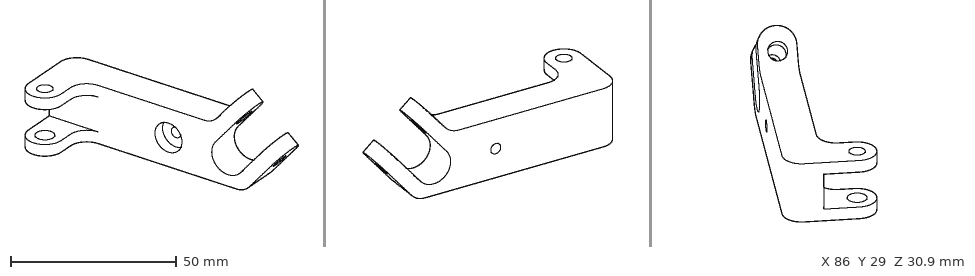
import cadquery as cq
import math

body_height = 20.0
body_depth = 12.0
total_depth = 29.0
end_radius = body_depth / 2
lug_thickness = 4.0
small_pin_diameter = 5.0
large_pin_diameter = 6.0

total_length = 86.0
fork_angle = 50.0
fork_reach = 18.0
arm_pin_distance = 10.0
slot_radius = 6.0
arm_thickness = 5.0
fork_half_width = slot_radius + arm_thickness
fork_cos = math.cos(math.radians(fork_angle))
fork_sin = math.sin(math.radians(fork_angle))
slot_x = total_length - fork_reach * fork_cos - fork_half_width * fork_sin
slot_z = body_height / 2

cross_hole_x = 44.0
cross_hole_diameter = 3.5
counterbore_diameter = 10.0
counterbore_depth = 4.0


def fork_point(along, across):
    """XZ point measured from the slot centre; positive across is the upper arm."""
    return (
        slot_x + along * fork_cos - across * fork_sin,
        slot_z + along * fork_sin + across * fork_cos,
    )


def bend_x(z, across):
    """X where an outer fork face meets the horizontal face at height z."""
    along = (z - slot_z - across * fork_cos) / fork_sin
    return fork_point(along, across)[0]


def fork_plane(across):
    """Plane parallel to the arms, X pointing to the tips and Y along the global Y axis."""
    x, z = fork_point(0, across)
    return cq.Plane(
        origin=(x, body_depth / 2, z),
        xDir=(fork_cos, 0, fork_sin),
        normal=(-fork_sin, 0, fork_cos),
    )


def make_bar():
    """Bar with two inclined arms, extruded from Y = 0 to Y = body_depth."""
    top_bend_x = bend_x(body_height, fork_half_width)
    bottom_bend_x = bend_x(0, -fork_half_width)
    bar = (
        cq.Workplane("XZ")
        .polyline([
            (0, 0),
            (bottom_bend_x, 0),
            fork_point(fork_reach, -fork_half_width),
            fork_point(fork_reach, fork_half_width),
            (top_bend_x, body_height),
            (0, body_height),
        ])
        .close()
        .extrude(-body_depth)
    )
    for x, z in ((bottom_bend_x, 0), (top_bend_x, body_height)):
        bend_edge = cq.selectors.NearestToPointSelector((x, body_depth / 2, z))
        bar = bar.edges(bend_edge).fillet(end_radius)

    slot = (
        cq.Workplane("XZ")
        .moveTo(*fork_point(fork_reach, slot_radius))
        .lineTo(*fork_point(0, slot_radius))
        .threePointArc(fork_point(-slot_radius, 0), fork_point(0, -slot_radius))
        .lineTo(*fork_point(fork_reach, -slot_radius))
        .close()
        .extrude(-body_depth)
    )
    back_corner = cq.selectors.NearestToPointSelector((0, body_depth, body_height / 2))
    return bar.cut(slot).edges(back_corner).fillet(end_radius)


def round_arm_tips(bar):
    """Trim the square arm ends to full half-rounds."""
    round_centre = fork_reach - end_radius
    fork_width = 2 * fork_half_width
    plane = fork_plane(-fork_half_width)
    square_ends = (
        cq.Workplane(plane)
        .center(round_centre + end_radius / 2, 0)
        .rect(end_radius, body_depth)
        .extrude(fork_width)
    )
    rounds = cq.Workplane(plane).center(round_centre, 0).circle(end_radius).extrude(fork_width)
    return bar.cut(square_ends.cut(rounds))


def arm_pin_hole(inner_across, diameter):
    """Cutter through one arm, starting at the arm's lower face."""
    return (
        cq.Workplane(fork_plane(inner_across))
        .center(arm_pin_distance, 0)
        .circle(diameter / 2)
        .extrude(arm_thickness)
    )


def side_lug(bottom_z, pin_diameter):
    """Rounded lug towards -Y, blended into the bar by a concave fillet."""
    tip_y = body_depth - total_depth
    round_y = tip_y + end_radius
    blend_centre_x = body_depth + end_radius
    blend_offset = end_radius * math.sqrt(0.5)
    return (
        cq.Workplane("XY", origin=(0, 0, bottom_z))
        .moveTo(0, 0)
        .lineTo(0, round_y)
        .threePointArc((end_radius, tip_y), (body_depth, round_y))
        .lineTo(body_depth, -end_radius)
        .threePointArc(
            (blend_centre_x - blend_offset, blend_offset - end_radius),
            (blend_centre_x, 0),
        )
        .close()
        .moveTo(end_radius, round_y)
        .circle(pin_diameter / 2)
        .extrude(lug_thickness)
    )


def cross_hole():
    """Stepped cutter along Y, with its wide end at the front face."""
    start = cq.Workplane("XZ").center(cross_hole_x, body_height / 2)
    through = start.circle(cross_hole_diameter / 2).extrude(-body_depth)
    counterbore = start.circle(counterbore_diameter / 2).extrude(-counterbore_depth)
    return through.union(counterbore)


result = round_arm_tips(make_bar())
result = result.cut(arm_pin_hole(slot_radius, large_pin_diameter))
result = result.cut(arm_pin_hole(-fork_half_width, small_pin_diameter))
result = result.union(side_lug(0, large_pin_diameter))
result = result.union(side_lug(body_height - lug_thickness, small_pin_diameter))
result = result.cut(cross_hole())